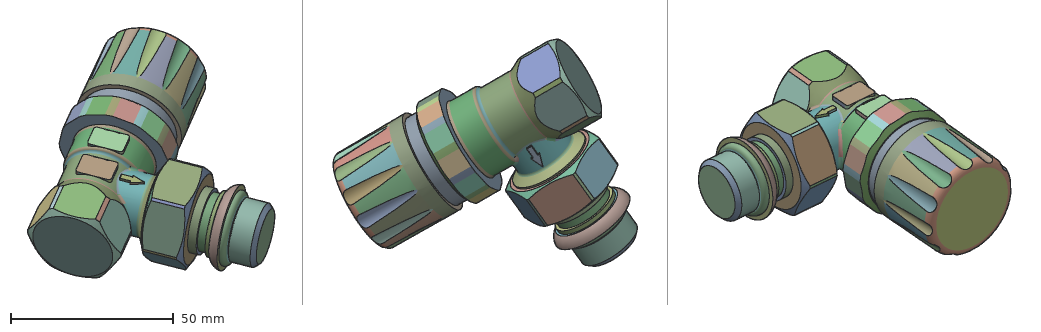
import cadquery as cq
import math

TOTAL_LENGTH = 80.0
OUTLET_Y = 23.0

INLET_FLATS = 26.95
INLET_CORNER_RADIUS = 15.1
INLET_FACE_RADIUS = 12.95
INLET_CHAMFER = 1.4
INLET_TOP_Y = 17.2
HEXAGON_TOP_Y = 16.4
INLET_CONE_SLOPE = math.tan(math.radians(27))

LOWER_RADIUS = 12.15
LOWER_TOP_Y = 28.3
UPPER_RADIUS = 13.3
UPPER_BOTTOM_Y = 30.15
FLARE_START_Y = 38.5
FLARE_RADIUS = 13.6
CORE_RADIUS = 13.2
CAST_FILLET = 0.95

COLLAR_SIDES = 12
COLLAR_FLATS = 35.2
COLLAR_RADIUS = 17.9
COLLAR_TURN = 5.6
COLLAR_BOTTOM_Y = 39.5
COLLAR_SHOULDER_Y = 47.7
COLLAR_TOP_Y = 49.0
COLLAR_TOP_RADIUS = 15.8

NECK_RADIUS = 15.5
HANDLE_BOTTOM_Y = 53.35
HANDLE_RADIUS = 17.0
HANDLE_TOP_RADIUS = 16.8
HANDLE_ROUND = 2.55
FLUTE_COUNT = 12
FLUTE_TURN = 4.0
FLUTE_START_Y = 58.1
FLUTE_RADIUS = 4.0
FLUTE_END_DEPTH = 1.2

BRANCH_RADIUS = 9.9
BRANCH_END_X = 16.7
FLANGE_X = 18.7
FLANGE_RADIUS = 13.2

UNION_START_X = 19.3
UNION_END_X = 32.95
UNION_FLATS = 30.0
UNION_CORNER_RADIUS = 17.0
UNION_FACE_RADIUS = 14.4
UNION_BEVEL = 1.4
UNION_TURN = 2.0

TAIL_RADIUS = 10.55
GROOVE_RADIUS = 9.4
GROOVE_START_X = 35.75
GROOVE_END_X = 38.6
LIP_START_X = 40.1
LIP_START_RADIUS = 11.35
LIP_MIDDLE = (41.4, 12.9)
LIP_END_X = 43.6
LIP_RADIUS = 13.7
RING_RADIUS = 12.0
RING_END_X = 45.6
RING_MIDDLE = (44.95, 11.75)
RING_END_RADIUS = 10.55
RELIEF_RADIUS = 9.2
SPIGOT_START_X = 46.1
SPIGOT_RADIUS = 10.2
SPIGOT_END_X = 54.6
SPIGOT_END_RADIUS = 8.8
SPIGOT_CHAMFER = 1.5

PAD_WIDTH = 11.5
PAD_ROUND = 0.95
UPPER_PAD_Y = 34.0
UPPER_PAD_LENGTH = 7.35
LOWER_PAD_LENGTH = 7.7
PAD_HEIGHT = 0.1
ARROW_START_X = 7.6
ARROW_HEAD_X = 11.2
ARROW_TIP_X = 15.4
ARROW_SHAFT_WIDTH = 1.75
ARROW_HEAD_WIDTH = 3.0
ARROW_HEIGHT = 0.9


EDGE_TOLERANCE = 0.01


def turned_y(points):
    """Solid of revolution about the main axis from (radius, y) points."""
    return cq.Workplane("XY").polyline(points).close().revolve(360, (0, 0), (0, 1))


def turned_x(points):
    """Solid of revolution about the X axis from (x, radius) points."""
    return cq.Workplane("XY").polyline(points).close().revolve(360, (0, 0), (1, 0))


def across_corners(sides, flats):
    """Corner-to-corner size of an even-sided regular polygon."""
    return flats / math.cos(math.pi / sides)


def prism_y(sides, flats, length, turn=0):
    """Regular prism rising from Y = 0 along the main axis, first corner toward +X."""
    prism = cq.Workplane("XZ").polygon(sides, across_corners(sides, flats)).extrude(-length)
    return prism.rotate((0, 0, 0), (0, 1, 0), -turn)


def inlet_hexagon():
    """Hexagon with a chamfered end face and a cone leading up to the body."""
    shoulder_y = INLET_TOP_Y - (INLET_CORNER_RADIUS - LOWER_RADIUS) / INLET_CONE_SLOPE
    join_radius = LOWER_RADIUS + (INLET_TOP_Y - HEXAGON_TOP_Y) * INLET_CONE_SLOPE
    envelope = turned_y([
        (0, 0),
        (INLET_FACE_RADIUS, 0),
        (INLET_CORNER_RADIUS, INLET_CHAMFER),
        (INLET_CORNER_RADIUS, shoulder_y),
        (join_radius, HEXAGON_TOP_Y),
        (0, HEXAGON_TOP_Y),
    ])
    return envelope.intersect(prism_y(6, INLET_FLATS, INLET_TOP_Y))


def junction_edges(body):
    """Curved edges where the round branch meets the upright body."""
    edges = []
    for edge in body.edges("%BSPLINE").vals():
        point = edge.positionAt(0.5)
        if abs(math.hypot(point.y - OUTLET_Y, point.z) - BRANCH_RADIUS) < EDGE_TOLERANCE:
            edges.append(edge)
    return edges


def valve_body():
    """Stepped round body with the outlet branch blended into it."""
    cone_y = INLET_TOP_Y - (CORE_RADIUS - LOWER_RADIUS) / INLET_CONE_SLOPE
    step_middle = ((LOWER_RADIUS + UPPER_RADIUS) / 2, (LOWER_TOP_Y + UPPER_BOTTOM_Y) / 2)
    upright = (
        cq.Workplane("XY")
        .moveTo(0, INLET_CHAMFER)
        .lineTo(CORE_RADIUS, INLET_CHAMFER)
        .lineTo(CORE_RADIUS, cone_y)
        .lineTo(LOWER_RADIUS, INLET_TOP_Y)
        .lineTo(LOWER_RADIUS, LOWER_TOP_Y)
        .tangentArcPoint(step_middle, relative=False)
        .tangentArcPoint((UPPER_RADIUS, UPPER_BOTTOM_Y), relative=False)
        .lineTo(UPPER_RADIUS, FLARE_START_Y)
        .lineTo(FLARE_RADIUS, COLLAR_BOTTOM_Y)
        .lineTo(0, COLLAR_BOTTOM_Y)
        .close()
        .revolve(360, (0, 0), (0, 1))
    )
    cone_top = cq.selectors.NearestToPointSelector((0, INLET_TOP_Y, 0))
    upright = upright.edges("%CIRCLE").edges(cone_top).fillet(CAST_FILLET)
    branch = (
        cq.Workplane("YZ", origin=(0, OUTLET_Y, 0))
        .circle(BRANCH_RADIUS)
        .extrude(UNION_START_X)
    )
    flange = turned_x([
        (BRANCH_END_X, 0),
        (BRANCH_END_X, BRANCH_RADIUS),
        (FLANGE_X, FLANGE_RADIUS),
        (UNION_START_X, FLANGE_RADIUS),
        (UNION_START_X, 0),
    ]).translate((0, OUTLET_Y, 0))
    branch = branch.union(flange)
    neck_circle = cq.selectors.NearestToPointSelector((BRANCH_END_X, OUTLET_Y, 0))
    branch = branch.edges("%CIRCLE").edges(neck_circle).fillet(CAST_FILLET)
    body = upright.union(branch)
    body = body.newObject(junction_edges(body)).fillet(CAST_FILLET)
    return body.union(inlet_hexagon())


def collar_nut():
    """Twelve-sided nut with turned corners and a conical top."""
    envelope = turned_y([
        (0, COLLAR_BOTTOM_Y),
        (COLLAR_RADIUS, COLLAR_BOTTOM_Y),
        (COLLAR_RADIUS, COLLAR_SHOULDER_Y),
        (COLLAR_TOP_RADIUS, COLLAR_TOP_Y),
        (0, COLLAR_TOP_Y),
    ])
    return envelope.intersect(prism_y(COLLAR_SIDES, COLLAR_FLATS, COLLAR_TOP_Y, COLLAR_TURN))


def handle():
    """Tapered handle on a neck, rounded at the top, with flutes that deepen upward."""
    neck = turned_y([
        (0, COLLAR_TOP_Y),
        (NECK_RADIUS, COLLAR_TOP_Y),
        (NECK_RADIUS, HANDLE_BOTTOM_Y),
        (0, HANDLE_BOTTOM_Y),
    ])
    grip = turned_y([
        (0, HANDLE_BOTTOM_Y),
        (HANDLE_RADIUS, HANDLE_BOTTOM_Y),
        (HANDLE_RADIUS, FLUTE_START_Y),
        (HANDLE_TOP_RADIUS, TOTAL_LENGTH),
        (0, TOTAL_LENGTH),
    ]).faces(">Y").edges().fillet(HANDLE_ROUND)

    flute_rise = TOTAL_LENGTH - FLUTE_START_Y
    flute_lean = FLUTE_END_DEPTH + HANDLE_RADIUS - HANDLE_TOP_RADIUS
    flute_length = math.hypot(flute_rise, flute_lean) + FLUTE_RADIUS
    axis = cq.Vector(0, flute_rise, -flute_lean)
    start = cq.Vector(0, FLUTE_START_Y, HANDLE_RADIUS + FLUTE_RADIUS)
    cutter = cq.Workplane(cq.Solid.makeCylinder(FLUTE_RADIUS, flute_length, start, axis))
    for index in range(FLUTE_COUNT):
        angle = FLUTE_TURN + index * 360 / FLUTE_COUNT
        grip = grip.cut(cutter.rotate((0, 0, 0), (0, 1, 0), angle))
    return neck.union(grip)


def union_nut():
    """Outlet hexagon nut, bevelled at both ends."""
    length = UNION_END_X - UNION_START_X
    envelope = turned_x([
        (UNION_START_X, 0),
        (UNION_START_X, UNION_FACE_RADIUS),
        (UNION_START_X + UNION_BEVEL, UNION_CORNER_RADIUS),
        (UNION_END_X - UNION_BEVEL, UNION_CORNER_RADIUS),
        (UNION_END_X, UNION_FACE_RADIUS),
        (UNION_END_X, 0),
    ])
    hexagon = (
        cq.Workplane("YZ", origin=(UNION_START_X, 0, 0))
        .polygon(6, across_corners(6, UNION_FLATS))
        .extrude(length)
        .rotate((0, 0, 0), (1, 0, 0), UNION_TURN)
    )
    return envelope.intersect(hexagon).translate((0, OUTLET_Y, 0))


def tailpiece():
    """Grooved tail with a flared lip, a rounded ring and a chamfered spigot."""
    profile = (
        cq.Workplane("XY")
        .moveTo(UNION_END_X, 0)
        .lineTo(UNION_END_X, TAIL_RADIUS)
        .lineTo(GROOVE_START_X, TAIL_RADIUS)
        .lineTo(GROOVE_START_X, GROOVE_RADIUS)
        .lineTo(GROOVE_END_X, GROOVE_RADIUS)
        .lineTo(GROOVE_END_X, TAIL_RADIUS)
        .lineTo(LIP_START_X, TAIL_RADIUS)
        .lineTo(LIP_START_X, LIP_START_RADIUS)
        .threePointArc(LIP_MIDDLE, (LIP_END_X, LIP_RADIUS))
        .lineTo(LIP_END_X, RING_RADIUS)
        .threePointArc(RING_MIDDLE, (RING_END_X, RING_END_RADIUS))
        .lineTo(RING_END_X, RELIEF_RADIUS)
        .lineTo(SPIGOT_START_X, RELIEF_RADIUS)
        .lineTo(SPIGOT_START_X, SPIGOT_RADIUS)
        .lineTo(SPIGOT_END_X - SPIGOT_CHAMFER, SPIGOT_RADIUS)
        .lineTo(SPIGOT_END_X, SPIGOT_END_RADIUS)
        .lineTo(SPIGOT_END_X, 0)
        .close()
    )
    return profile.revolve(360, (0, 0), (1, 0)).translate((0, OUTLET_Y, 0))


def pad(center_y, length, top_z):
    """Flat-topped rectangular pad with rounded corners, rooted inside the body."""
    root_z = LOWER_RADIUS / 2
    return (
        cq.Workplane("XY", origin=(0, center_y, root_z))
        .rect(PAD_WIDTH, length)
        .extrude(top_z - root_z)
        .edges("|Z")
        .fillet(PAD_ROUND)
    )


def flow_arrow():
    """Raised arrow on the branch, pointing toward the outlet."""
    half_shaft = ARROW_SHAFT_WIDTH / 2
    half_head = ARROW_HEAD_WIDTH / 2
    root_z = BRANCH_RADIUS / 2
    return (
        cq.Workplane("XY", origin=(0, OUTLET_Y, root_z))
        .polyline([
            (ARROW_START_X, -half_shaft),
            (ARROW_HEAD_X, -half_shaft),
            (ARROW_HEAD_X, -half_head),
            (ARROW_TIP_X, 0),
            (ARROW_HEAD_X, half_head),
            (ARROW_HEAD_X, half_shaft),
            (ARROW_START_X, half_shaft),
        ])
        .close()
        .extrude(BRANCH_RADIUS + ARROW_HEIGHT - root_z)
    )


result = valve_body()
for part in (collar_nut(), handle(), union_nut(), tailpiece()):
    result = result.union(part)

result = result.union(pad(UPPER_PAD_Y, UPPER_PAD_LENGTH, UPPER_RADIUS + PAD_HEIGHT))
result = result.union(pad(OUTLET_Y, LOWER_PAD_LENGTH, LOWER_RADIUS + PAD_HEIGHT))
result = result.union(flow_arrow()).union(flow_arrow().mirror("XY"))